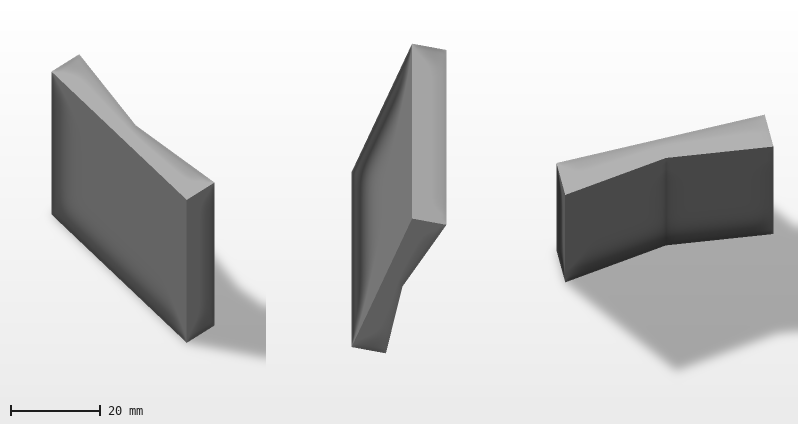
import cadquery as cq

width = 48.0
thickness = 8.0
height = 50.0

valley_depth = 3.2

half_width = width / 2
front_y = -thickness / 2
back_y = thickness / 2

outline = [
    (-half_width, front_y),
    (half_width, front_y),
    (half_width, back_y),
    (0, back_y - valley_depth),
    (-half_width, back_y),
]

result = cq.Workplane("XY").polyline(outline).close().extrude(height)